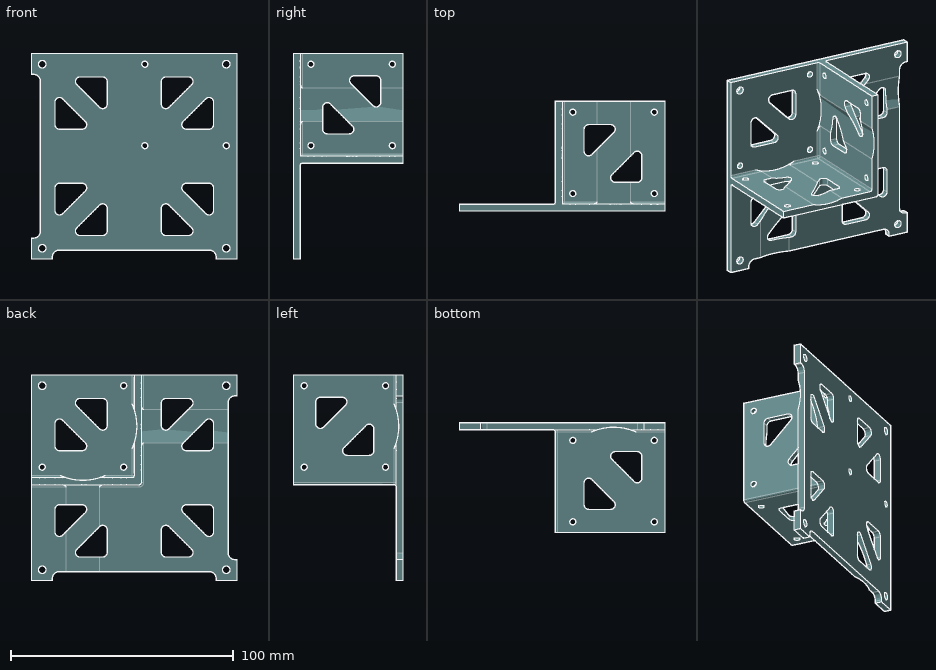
import cadquery as cq

PLATE_SIZE = 92.5
PLATE_THICKNESS = 3.175
HALF = PLATE_SIZE / 2
WING_TIP = PLATE_THICKNESS + HALF
CORNER_RADIUS = 1.0

HOLE_EDGE_DISTANCE = 4.9
BASE_HOLE_DIAMETER = 3.3
WING_HOLE_DIAMETER = 2.6
WING_HOLE_SPACING = 36.6
BASE_HOLE = HALF - HOLE_EDGE_DISTANCE
WING_HOLE_NEAR = BASE_HOLE - WING_HOLE_SPACING

RECESS_DEPTH = 4.0
RECESS_LENGTH = 73.5
RECESS_RADIUS = 3.0

BASE_WINDOW_LEG = 17.0
WING_WINDOW_LEG = 16.75
WINDOW_RADIUS = 2.0
BASE_WINDOW_NEAR = 12.2
BASE_WINDOW_FAR = 35.6
FLOOR_WINDOW_NEAR = 9.85
FLOOR_WINDOW_FAR = 35.7
SIDE_WINDOW_NEAR = 10.1
SIDE_WINDOW_FAR = 36.1

CLEARANCE_RADIUS = 24.3
WING_CENTRE = HALF / 2

BASE_PLANE = cq.Plane(origin=(0, 0, 0), xDir=(1, 0, 0), normal=(0, -1, 0))
SIDE_PLANE = cq.Plane(origin=(0, PLATE_THICKNESS, 0), xDir=(0, 1, 0), normal=(1, 0, 0))
FLOOR_PLANE = cq.Plane(origin=(0, PLATE_THICKNESS, 0), xDir=(1, 0, 0), normal=(0, 0, 1))


def box(x_range, y_range, z_range):
    """Box spanning the given (low, high) range on each axis."""
    ranges = (x_range, y_range, z_range)
    size = [high - low for low, high in ranges]
    corner = tuple(low for low, high in ranges)
    return cq.Workplane("XY").box(*size, centered=False).translate(corner)


def make_plates():
    """Base plate and wings, with every meeting line rounded."""
    base = box((-HALF, HALF), (0, PLATE_THICKNESS), (-HALF, HALF))

    wing_y = (PLATE_THICKNESS, WING_TIP)
    wing_xz = (-PLATE_THICKNESS, HALF)
    wing_block = box(wing_xz, wing_y, wing_xz)
    wing_block = wing_block.edges("|Y and <X and <Z").fillet(CORNER_RADIUS)

    body = base.union(wing_block)
    foot_line = cq.selectors.BoxSelector(
        (-PLATE_THICKNESS - CORNER_RADIUS, PLATE_THICKNESS / 2, -PLATE_THICKNESS - CORNER_RADIUS),
        (HALF - CORNER_RADIUS, PLATE_THICKNESS + CORNER_RADIUS, HALF - CORNER_RADIUS),
    )
    body = body.edges(foot_line).fillet(CORNER_RADIUS)

    inner_space = box((0, HALF), wing_y, (0, HALF))
    corner_edges = "(|X and <Y and <Z) or (|Y and <X and <Z) or (|Z and <X and <Y)"
    inner_space = inner_space.edges(corner_edges).fillet(CORNER_RADIUS)
    return body.cut(inner_space)


def edge_recess():
    """Cutter for the recess in the lower edge of the base plate."""
    block = box(
        (-RECESS_LENGTH / 2, RECESS_LENGTH / 2),
        (0, PLATE_THICKNESS),
        (-HALF - RECESS_DEPTH, -HALF + RECESS_DEPTH),
    )
    return block.edges("|Y and >Z").fillet(RECESS_RADIUS)


def round_holes(plane, points, diameter):
    """Cutter for round holes through the plate under a sketch plane."""
    return cq.Workplane(plane).pushPoints(points).circle(diameter / 2).extrude(-PLATE_THICKNESS)


def window(plane, u, v, u_leg, v_leg):
    """Cutter for a triangular window with its square corner at (u, v) and signed leg lengths."""
    corners = [(u, v), (u + u_leg, v), (u, v + v_leg), (u, v)]
    sketch = cq.Sketch().polygon(corners).vertices().fillet(WINDOW_RADIUS)
    return cq.Workplane(plane).placeSketch(sketch).extrude(-PLATE_THICKNESS)


def rising_rib_windows(plane, near, far, leg):
    """Window pair whose separating rib rises away from the origin of the plane."""
    upper = window(plane, near, far, leg, -leg)
    lower = window(plane, far, near, -leg, leg)
    return upper.union(lower)


def falling_rib_windows(plane, near, far, leg):
    """Window pair whose separating rib runs across the diagonal from the origin of the plane."""
    inner = window(plane, near, near, leg, leg)
    outer = window(plane, far, far, -leg, -leg)
    return inner.union(outer)


def clearance(plane):
    """Cylinder centred on a wing, reaching away from the far face of the plate under a plane."""
    cylinder = cq.Workplane(plane).workplane(offset=-PLATE_THICKNESS).center(WING_CENTRE, WING_CENTRE)
    return cylinder.circle(CLEARANCE_RADIUS).extrude(-HALF)


result = make_plates()

lower_recess = edge_recess()
result = result.cut(lower_recess).cut(lower_recess.rotate((0, 0, 0), (0, 1, 0), 90))

corner_hole = round_holes(BASE_PLANE, [(BASE_HOLE, BASE_HOLE)], BASE_HOLE_DIAMETER)
quadrant_windows = rising_rib_windows(BASE_PLANE, BASE_WINDOW_NEAR, BASE_WINDOW_FAR, BASE_WINDOW_LEG)
quadrant_cutter = quadrant_windows.union(corner_hole)
for quarter_turn in (0, 90, 180, 270):
    result = result.cut(quadrant_cutter.rotate((0, 0, 0), (0, 1, 0), quarter_turn))

wing_holes = [(u, v) for u in (WING_HOLE_NEAR, BASE_HOLE) for v in (WING_HOLE_NEAR, BASE_HOLE)]
for plane in (BASE_PLANE, SIDE_PLANE, FLOOR_PLANE):
    result = result.cut(round_holes(plane, wing_holes, WING_HOLE_DIAMETER))

result = result.cut(rising_rib_windows(FLOOR_PLANE, FLOOR_WINDOW_NEAR, FLOOR_WINDOW_FAR, WING_WINDOW_LEG))
result = result.cut(falling_rib_windows(SIDE_PLANE, SIDE_WINDOW_NEAR, SIDE_WINDOW_FAR, WING_WINDOW_LEG))

for plane in (BASE_PLANE, SIDE_PLANE, FLOOR_PLANE):
    result = result.cut(clearance(plane))